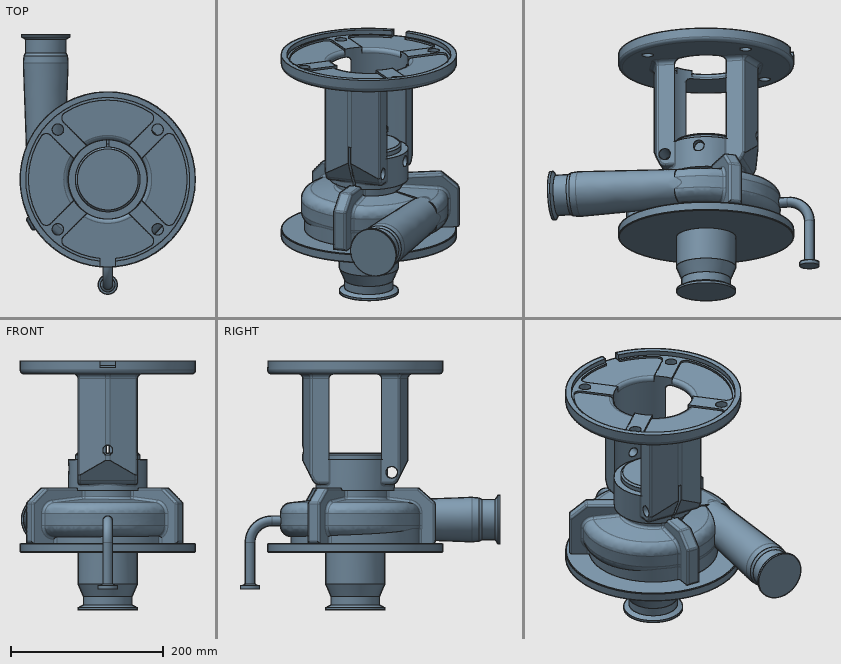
import cadquery as cq
import math


TOLERANCE = 0.02

FLANGE_RADIUS = 115.0
FLANGE_TOP_Z = 208.0
FLANGE_THICKNESS = 17.0
FLANGE_BOTTOM_Z = FLANGE_TOP_Z - FLANGE_THICKNESS
FLANGE_EDGE_FILLET = 5.0
RECESS_RADIUS = 107.5
RECESS_DEPTH = 6.0
POCKET_RADIUS = 104.0
POCKET_DEPTH = 8.5
POCKET_CORNER_FILLET = 8.0
SPOKE_WIDTH = 24.0
SPOKE_ANGLES = (45, 135, 225, 315)
MOTOR_BOLT_CIRCLE_RADIUS = 92.5
MOTOR_BOLT_DIAMETER = 15.0
NOTCH_WIDTH = 20.0
NOTCH_OVERLAP = 2.0
LANTERN_BORE_RADIUS = 52.0
BORE_EDGE_FILLET = 5.7

LEG_HALF_WIDTH = 39.0
LEG_RIDGE_HALF_WIDTH = 3.0
LEG_RIDGE_Y = 69.0
LEG_SIDE_Y = 58.6
LEG_INNER_Y = 25.0
LEG_BOTTOM_Z = 46.0
LEG_SLANT_TOP_Z = 77.6
LEG_SLANT_RUN_PER_RISE = 0.5
LEG_SIDE_FILLET = 3.0
LEG_FOOT_FILLET = 10.0
LEG_FLANGE_FILLET = 6.0
LEG_COLLAR_FILLET = 2.0
SIGHT_HOLE_DIAMETER = 13.0
SIGHT_HOLE_Z = 91.0
CLAMP_HOLE_DIAMETER = 15.0
CLAMP_HOLE_Y = 47.8
CLAMP_HOLE_Z = 62.0
SLIT_WIDTH = 3.4
SLIT_TOP_Z = 100.0

COLLAR_RADIUS = 51.5
COLLAR_BOTTOM_Z = 38.0
COLLAR_TOP_Z = 78.8
COVER_RADIUS = 42.5
COVER_TOP_Z = 87.0
COVER_CHAMFER = 2.5
COLLAR_HOLE_DIAMETER = 14.5
COLLAR_HOLE_Z = 67.0

VOLUTE_HALF_HEIGHT = 22.5
VOLUTE_EDGE_FILLET = 14.5
VOLUTE_FRONT_RADIUS = 98.1
VOLUTE_GROWTH_PER_DEGREE = 0.0861
VOLUTE_MIN_RADIUS = 85.0
FRONT_SWEEP = 270
SPIRAL_START_SWEEP = 12
SPIRAL_STEPS = 24
LID_OUTER_Z = 20.8
LID_INNER_Z = 27.4
LID_INNER_SCALE = 0.4
NECK_RADIUS = 42.5
PEDESTAL_RADIUS = 84.5

PLATE_RADIUS = 115.0
PLATE_TOP_Z = -31.2
PLATE_THICKNESS = 11.8
PLATE_BOTTOM_Z = PLATE_TOP_Z - PLATE_THICKNESS
PLATE_CHAMFER = 1.0

BRACKETS = ((90, 105.0), (210, 119.0), (330, 110.0))
BRACKET_WIDTH = 18.0
BRACKET_TOP_Z = 41.6
BRACKET_SHOULDER_Z = 22.0
BRACKET_SLOPE_RUN = 22.0
BRACKET_STEP_RADIUS = 46.5
BRACKET_EDGE_FILLET = 3.0
BRACKET_CORNER_FILLET = 4.0
CASING_BLEND_FILLET = 3.5

SUCTION_RADIUS = 39.0
SUCTION_CONE_TOP_Z = -84.5
SUCTION_CONE_BOTTOM_Z = -101.0
SUCTION_END_RADIUS = 32.0
SUCTION_FERRULE_RADIUS = 38.75
SUCTION_END_Z = -118.5

OUTLET_AXIS_X = -81.3
OUTLET_ROOT_RADIUS = 22.5
OUTLET_CONE_START_Y = 12.0
OUTLET_CONE_START_RADIUS = 24.4
OUTLET_CONE_END_Y = 153.0
OUTLET_CONE_END_RADIUS = 29.5
OUTLET_SHOULDER_Y = 162.0
OUTLET_SHOULDER_RADIUS = 28.6
OUTLET_TUBE_START_Y = 166.0
OUTLET_TUBE_RADIUS = 26.6
OUTLET_FERRULE_RADIUS = 32.0
OUTLET_END_Y = 190.0

FERRULE_RIM = 3.0
FERRULE_LENGTH = 6.5

DRAIN_RADIUS = 6.5
DRAIN_Z = -1.7
DRAIN_START_Y = -90.0
DRAIN_BEND_RADIUS = 28.5
DRAIN_DROP_Y = -138.0
DRAIN_END_Z = -91.2
DRAIN_FERRULE_RADIUS = 12.7
DRAIN_FERRULE_THICKNESS = 4.8
DRAIN_FLARE_RADIUS = 9.5
DRAIN_FLARE_HEIGHT = 2.0


def cylinder(radius, bottom_z, top_z):
    return cq.Workplane("XY").workplane(offset=bottom_z).circle(radius).extrude(top_z - bottom_z)


def box(x_range, y_range, z_range):
    sizes = [high - low for low, high in (x_range, y_range, z_range)]
    return cq.Workplane("XY").box(*sizes, centered=False).translate((x_range[0], y_range[0], z_range[0]))


def leg():
    """Leg on the -Y side: a prism with a shallow V-shaped outer face and a slanted foot."""
    foot_y = LEG_RIDGE_Y - (LEG_SLANT_TOP_Z - LEG_BOTTOM_Z) * LEG_SLANT_RUN_PER_RISE
    prism = (
        cq.Workplane("XY").workplane(offset=LEG_BOTTOM_Z)
        .polyline([
            (-LEG_HALF_WIDTH, -LEG_INNER_Y),
            (-LEG_HALF_WIDTH, -LEG_SIDE_Y),
            (-LEG_RIDGE_HALF_WIDTH, -LEG_RIDGE_Y),
            (LEG_RIDGE_HALF_WIDTH, -LEG_RIDGE_Y),
            (LEG_HALF_WIDTH, -LEG_SIDE_Y),
            (LEG_HALF_WIDTH, -LEG_INNER_Y),
        ]).close().extrude(FLANGE_BOTTOM_Z - LEG_BOTTOM_Z)
    )
    wedge = (
        cq.Workplane("YZ")
        .polyline([
            (-LEG_RIDGE_Y, LEG_SLANT_TOP_Z),
            (-LEG_RIDGE_Y, LEG_BOTTOM_Z),
            (-foot_y, LEG_BOTTOM_Z),
        ]).close().extrude(LEG_HALF_WIDTH, both=True)
    )
    prism = prism.cut(wedge)
    prism = prism.faces("<Z").edges("<Y").fillet(LEG_FOOT_FILLET)
    side_rims = [
        edge for edge in prism.faces("<X or >X").edges().vals()
        if edge.Center().z < FLANGE_BOTTOM_Z - 1 and edge.BoundingBox().ymin < -LEG_INNER_Y - 1
    ]
    return prism.newObject(side_rims).fillet(LEG_SIDE_FILLET)


def pocket(spoke_angle):
    """Sector pocket between one spoke and the next one counterclockwise."""
    middle_angle = spoke_angle + 45
    wedge_tip = SPOKE_WIDTH / math.sqrt(2)
    reach = 2 * FLANGE_RADIUS
    wedge = (
        cq.Workplane("XY").workplane(offset=FLANGE_TOP_Z - POCKET_DEPTH)
        .polyline([(wedge_tip, 0), (wedge_tip + reach, -reach), (wedge_tip + reach, reach)]).close()
        .extrude(POCKET_DEPTH)
        .rotate((0, 0, 0), (0, 0, 1), middle_angle)
    )
    disc = cylinder(POCKET_RADIUS, FLANGE_TOP_Z - POCKET_DEPTH, FLANGE_TOP_Z)
    hub = cylinder(LANTERN_BORE_RADIUS / 2, FLANGE_TOP_Z - POCKET_DEPTH, FLANGE_TOP_Z)
    sector = disc.intersect(wedge).cut(hub)
    corner_edges = [
        edge for edge in sector.edges("|Z").vals()
        if math.hypot(edge.Center().x, edge.Center().y) > LANTERN_BORE_RADIUS
    ]
    return sector.newObject(corner_edges).fillet(POCKET_CORNER_FILLET)


def flange_with_legs():
    flange = cylinder(FLANGE_RADIUS, FLANGE_BOTTOM_Z, FLANGE_TOP_Z)
    flange = flange.faces("<Z").edges().fillet(FLANGE_EDGE_FILLET)
    front_leg = leg()
    back_leg = front_leg.rotate((0, 0, 0), (0, 0, 1), 180)
    body = flange.union(front_leg).union(back_leg)
    joint = cq.selectors.BoxSelector(
        (-LEG_HALF_WIDTH - 1, -LEG_RIDGE_Y - 1, FLANGE_BOTTOM_Z - 0.1),
        (LEG_HALF_WIDTH + 1, LEG_RIDGE_Y + 1, FLANGE_BOTTOM_Z + 0.1), boundingbox=True,
    )
    body = body.edges(joint).fillet(LEG_FLANGE_FILLET)

    body = body.cut(cylinder(RECESS_RADIUS, FLANGE_TOP_Z - RECESS_DEPTH, FLANGE_TOP_Z))
    floor_z = FLANGE_TOP_Z - POCKET_DEPTH
    bore = cylinder(LANTERN_BORE_RADIUS, COLLAR_TOP_Z, FLANGE_TOP_Z)
    body = body.cut(bore)
    for angle in SPOKE_ANGLES:
        body = body.cut(pocket(angle))
    rims = [
        edge for edge in body.edges("%CIRCLE").vals()
        if abs(edge.Center().z - floor_z) < TOLERANCE
        and abs(edge.radius() - LANTERN_BORE_RADIUS) < TOLERANCE
    ]
    body = body.newObject(rims).fillet(BORE_EDGE_FILLET)
    notch = box(
        (-NOTCH_WIDTH / 2, NOTCH_WIDTH / 2),
        (-FLANGE_RADIUS, -POCKET_RADIUS + NOTCH_OVERLAP),
        (floor_z, FLANGE_TOP_Z),
    )
    body = body.cut(notch)
    holes = (
        cq.Workplane("XY").workplane(offset=FLANGE_BOTTOM_Z)
        .polarArray(MOTOR_BOLT_CIRCLE_RADIUS, SPOKE_ANGLES[0], 360, len(SPOKE_ANGLES))
        .circle(MOTOR_BOLT_DIAMETER / 2).extrude(FLANGE_THICKNESS)
    )
    return body.cut(holes)


def lantern():
    """Flange, legs and clamping collar, closed by the seal cover."""
    body = flange_with_legs().union(cylinder(COLLAR_RADIUS, COLLAR_BOTTOM_Z, COLLAR_TOP_Z))
    leg_sides = [
        edge for edge in body.edges("|Z").vals()
        if abs(abs(edge.Center().x) - LEG_HALF_WIDTH) < TOLERANCE and edge.Center().z < COLLAR_TOP_Z
        and abs(math.hypot(edge.Center().x, edge.Center().y) - COLLAR_RADIUS) < TOLERANCE
    ]
    body = body.newObject(leg_sides).fillet(LEG_COLLAR_FILLET)

    sight_hole = (
        cq.Workplane("XZ").center(0, SIGHT_HOLE_Z)
        .circle(SIGHT_HOLE_DIAMETER / 2).extrude(LEG_RIDGE_Y)
    )
    clamp_hole = (
        cq.Workplane("YZ").center(CLAMP_HOLE_Y, CLAMP_HOLE_Z)
        .circle(CLAMP_HOLE_DIAMETER / 2).extrude(COLLAR_RADIUS, both=True)
    )
    collar_hole = (
        cq.Workplane("YZ").center(0, COLLAR_HOLE_Z)
        .circle(COLLAR_HOLE_DIAMETER / 2).extrude(-COLLAR_RADIUS)
    )
    slit = box((-SLIT_WIDTH / 2, SLIT_WIDTH / 2), (0, LEG_RIDGE_Y), (COLLAR_BOTTOM_Z, SLIT_TOP_Z))
    body = body.cut(sight_hole).cut(clamp_hole).cut(collar_hole).cut(slit)
    cover = cylinder(COVER_RADIUS, COLLAR_BOTTOM_Z, COVER_TOP_Z).faces(">Z").chamfer(COVER_CHAMFER)
    return body.union(cover)


def spiral_wire(z, scale=1.0):
    """Closed volute outline, growing from -X through +Y, +X and -Y back to -X."""
    points = []
    for step in range(SPIRAL_STEPS + 1):
        sweep = SPIRAL_START_SWEEP + 360 * step / SPIRAL_STEPS
        grown_radius = VOLUTE_FRONT_RADIUS + VOLUTE_GROWTH_PER_DEGREE * (sweep - FRONT_SWEEP)
        radius = max(grown_radius, VOLUTE_MIN_RADIUS)
        angle = math.radians(180 - sweep)
        points.append(cq.Vector(scale * radius * math.cos(angle), scale * radius * math.sin(angle), z))
    step_line = cq.Edge.makeLine(points[-1], points[0])
    return cq.Wire.assembleEdges([cq.Edge.makeSpline(points), step_line])


def volute():
    """Spiral scroll with a sloping lid, the neck above it and the pedestal below it."""
    height = cq.Vector(0, 0, LID_OUTER_Z + VOLUTE_HALF_HEIGHT)
    scroll = cq.Workplane(cq.Solid.extrudeLinear(spiral_wire(-VOLUTE_HALF_HEIGHT), [], height))
    lid = cq.Workplane(cq.Solid.makeLoft(
        [spiral_wire(LID_OUTER_Z), spiral_wire(LID_INNER_Z, LID_INNER_SCALE)], True
    ))
    body = scroll.union(lid)
    inner_reach = LID_INNER_SCALE * VOLUTE_FRONT_RADIUS + NECK_RADIUS / 2
    rims = [
        edge for edge in body.edges("not(%LINE)").vals()
        if edge.BoundingBox().zlen < 0.01 and edge.BoundingBox().xmax > inner_reach
    ]
    body = body.newObject(rims).fillet(VOLUTE_EDGE_FILLET)
    neck = cylinder(NECK_RADIUS, 0, COLLAR_BOTTOM_Z)
    pedestal = cylinder(PEDESTAL_RADIUS, PLATE_TOP_Z, VOLUTE_EDGE_FILLET - VOLUTE_HALF_HEIGHT)
    return body.union(neck).union(pedestal)


def bracket(angle, reach):
    """Radial bracket with a sloping shoulder and rounded outer edges."""
    blank = (
        cq.Workplane("XZ")
        .polyline([
            (0, PLATE_TOP_Z),
            (reach, PLATE_TOP_Z),
            (reach, BRACKET_SHOULDER_Z),
            (reach - BRACKET_SLOPE_RUN, BRACKET_TOP_Z),
            (BRACKET_STEP_RADIUS, BRACKET_TOP_Z),
            (BRACKET_STEP_RADIUS, COLLAR_BOTTOM_Z),
            (0, COLLAR_BOTTOM_Z),
        ]).close().extrude(BRACKET_WIDTH / 2, both=True)
    )
    corners = [
        edge for edge in blank.edges("|Y").vals()
        if edge.Center().x > BRACKET_STEP_RADIUS + 1 and edge.Center().z > 0
    ]
    blank = blank.newObject(corners).fillet(BRACKET_CORNER_FILLET)
    outer_edges = [
        edge for edge in blank.faces("<Y or >Y").edges().vals()
        if edge.Center().x > BRACKET_STEP_RADIUS + 1 and edge.Center().z > PLATE_TOP_Z + 1
    ]
    outer_edges += blank.faces(">X").edges("<Z").vals()
    rounded = blank.newObject(outer_edges).fillet(BRACKET_EDGE_FILLET)
    return rounded.rotate((0, 0, 0), (0, 0, 1), angle)


def bracket_blend_edges(body, angle, reach):
    """Edges where the two side faces of a bracket meet the neck, volute and pedestal."""
    aligned = body.rotate((0, 0, 0), (0, 0, 1), -angle)
    inner_limit = NECK_RADIUS - 2
    outer_limit = reach - BRACKET_EDGE_FILLET - 1
    blend_edges = []
    for edge, aligned_edge in zip(body.edges().vals(), aligned.edges().vals()):
        bounds = aligned_edge.BoundingBox()
        on_side_face = (
            bounds.ylen < TOLERANCE
            and abs(abs(aligned_edge.Center().y) - BRACKET_WIDTH / 2) < TOLERANCE
        )
        between_ends = inner_limit < bounds.xmin and bounds.xmax < outer_limit
        below_top = bounds.zmax < COLLAR_BOTTOM_Z + 0.1 and bounds.zmin < COLLAR_BOTTOM_Z - 0.1
        above_foot = bounds.zmax > PLATE_TOP_Z + 0.1
        if on_side_face and between_ends and below_top and above_foot:
            blend_edges.append(edge)
    return blend_edges


def neck_blend_edges(body):
    """Arcs where neck and volute lid meet, except on the -X side where the lid has its step."""
    lid_joints = cq.selectors.BoxSelector(
        (-NECK_RADIUS / 4, -NECK_RADIUS, VOLUTE_HALF_HEIGHT),
        (NECK_RADIUS, NECK_RADIUS, COLLAR_BOTTOM_Z - 1),
    )
    return [
        edge for edge in body.edges("not(%LINE)").edges(lid_joints).vals()
        if all(
            abs(math.hypot(point.x, point.y) - NECK_RADIUS) < TOLERANCE
            for point in edge.positions((0.0, 0.5, 1.0))
        )
    ]


def casing():
    """Volute with its brackets blended in."""
    body = volute()
    for angle, reach in BRACKETS:
        body = body.union(bracket(angle, reach))
    blend_edges = neck_blend_edges(body)
    for angle, reach in BRACKETS:
        blend_edges += bracket_blend_edges(body, angle, reach)
    return body.newObject(blend_edges).fillet(CASING_BLEND_FILLET)


def base_plate():
    plate = cylinder(PLATE_RADIUS, PLATE_BOTTOM_Z, PLATE_TOP_Z)
    return plate.edges().chamfer(PLATE_CHAMFER)


def suction_branch():
    return (
        cq.Workplane("XZ")
        .polyline([
            (0, PLATE_BOTTOM_Z),
            (SUCTION_RADIUS, PLATE_BOTTOM_Z),
            (SUCTION_RADIUS, SUCTION_CONE_TOP_Z),
            (SUCTION_END_RADIUS, SUCTION_CONE_BOTTOM_Z),
            (SUCTION_END_RADIUS, SUCTION_END_Z + FERRULE_LENGTH),
            (SUCTION_FERRULE_RADIUS, SUCTION_END_Z + FERRULE_RIM),
            (SUCTION_FERRULE_RADIUS, SUCTION_END_Z),
            (0, SUCTION_END_Z),
        ]).close().revolve(360, (0, 0), (0, 1))
    )


def outlet_branch():
    return (
        cq.Workplane("XY")
        .polyline([
            (0, 0),
            (OUTLET_ROOT_RADIUS, 0),
            (OUTLET_CONE_START_RADIUS, OUTLET_CONE_START_Y),
            (OUTLET_CONE_END_RADIUS, OUTLET_CONE_END_Y),
            (OUTLET_SHOULDER_RADIUS, OUTLET_SHOULDER_Y),
            (OUTLET_TUBE_RADIUS, OUTLET_TUBE_START_Y),
            (OUTLET_TUBE_RADIUS, OUTLET_END_Y - FERRULE_LENGTH),
            (OUTLET_FERRULE_RADIUS, OUTLET_END_Y - FERRULE_RIM),
            (OUTLET_FERRULE_RADIUS, OUTLET_END_Y),
            (0, OUTLET_END_Y),
        ]).close().revolve(360, (0, 0), (0, 1)).translate((OUTLET_AXIS_X, 0, 0))
    )


def drain_tube():
    bend_start_y = DRAIN_DROP_Y + DRAIN_BEND_RADIUS
    path = (
        cq.Workplane("YZ").moveTo(DRAIN_START_Y, DRAIN_Z).lineTo(bend_start_y, DRAIN_Z)
        .radiusArc((DRAIN_DROP_Y, DRAIN_Z - DRAIN_BEND_RADIUS), -DRAIN_BEND_RADIUS)
        .lineTo(DRAIN_DROP_Y, DRAIN_END_Z)
    )
    tube = cq.Workplane("XZ", origin=(0, DRAIN_START_Y, DRAIN_Z)).circle(DRAIN_RADIUS).sweep(path)
    ferrule = cylinder(DRAIN_FERRULE_RADIUS, DRAIN_END_Z, DRAIN_END_Z + DRAIN_FERRULE_THICKNESS)
    flare = (
        cq.Workplane("XY").workplane(offset=DRAIN_END_Z + DRAIN_FERRULE_THICKNESS)
        .circle(DRAIN_FLARE_RADIUS).workplane(offset=DRAIN_FLARE_HEIGHT).circle(DRAIN_RADIUS).loft()
    )
    return tube.union(ferrule.union(flare).translate((0, DRAIN_DROP_Y, 0)))


result = casing()
for piece in (lantern(), base_plate(), suction_branch(), outlet_branch(), drain_tube()):
    result = result.union(piece)